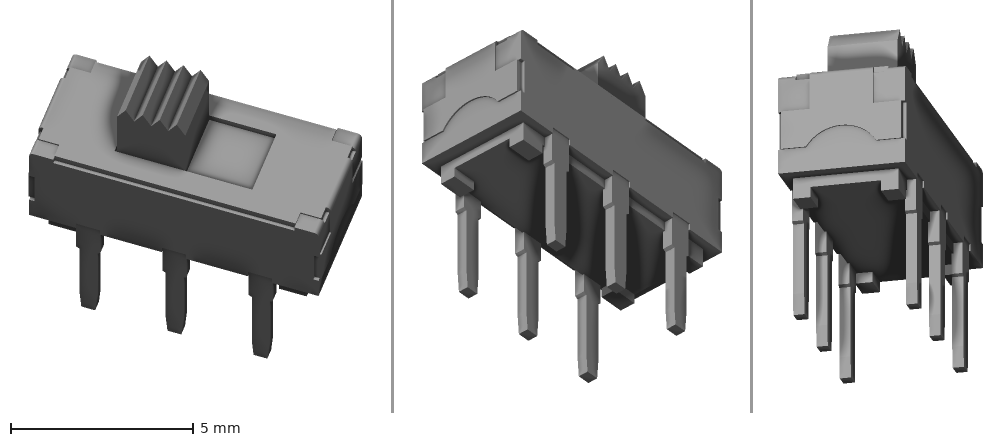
import cadquery as cq


CASE_LENGTH = 8.4
CASE_WIDTH = 3.6
CASE_BOTTOM = 0.6
CASE_TOP = 3.45
CASE_END_ROUND = 0.13

SHEET = 0.2
COVER_LENGTH = 8.5
COVER_WIDTH = 3.4
COVER_TOP = 3.5
COVER_BEND_RADIUS = 0.15
LID_UNDERSIDE = COVER_TOP - SHEET
FLAP_NECK_WIDTH = 1.8
FLAP_WING_TOP = 2.4
FLAP_BOTTOM = 1.3
FLAP_ARC_HALF_CHORD = 1.0
FLAP_ARC_RISE = 0.54

BLOCK_INNER_X = 3.5
BLOCK_INNER_Y = 1.3

WINDOW_LENGTH = 4.0
WINDOW_WIDTH = 2.0
SLIDER_SIZE = 1.98
SLIDER_CENTER_X = -0.94
SLIDER_TOP = 5.5
TOOTH_COUNT = 4
TOOTH_HEIGHT = 0.4

BASE_LENGTH = 7.5
BASE_WIDTH = 3.0
BASE_BOTTOM = 0.3
FOOT_LENGTH = 0.8
FOOT_WIDTH = 0.5

PIN_PITCH = 2.5
PIN_COLUMNS = (-1, 0, 1)
PIN_ROW_Y = 1.6
PIN_THICKNESS = 0.32
PIN_OUTER_Y = PIN_ROW_Y + PIN_THICKNESS / 2
PIN_TOP = 0.8
PIN_SHOULDER = -0.3
PIN_SHOULDER_DROP = 0.06
PIN_TAPER_START = -2.4
PIN_BOTTOM = -3.0
PIN_SHOULDER_WIDTH = 0.7
PIN_WIDTH = 0.5
PIN_TIP_WIDTH = 0.4

SIDES = (-1, 1)


def block(length, width, bottom, top, x=0, y=0):
    """Box centred on (x, y) and spanning bottom to top in Z."""
    return (
        cq.Workplane("XY", origin=(x, y, bottom))
        .rect(length, width)
        .extrude(top - bottom)
    )


def corner_columns(bottom, top):
    """Four columns filling the corner regions that the lid leaves free."""
    length = COVER_LENGTH / 2 - BLOCK_INNER_X
    width = CASE_WIDTH / 2 - BLOCK_INNER_Y
    columns = cq.Workplane("XY")
    for side_x in SIDES:
        for side_y in SIDES:
            x = side_x * (BLOCK_INNER_X + length / 2)
            y = side_y * (BLOCK_INNER_Y + width / 2)
            columns = columns.add(block(length, width, bottom, top, x, y))
    return columns.combine()


def make_case():
    """Case with raised corner blocks and recesses beside the flap wings."""
    case = block(CASE_LENGTH, CASE_WIDTH, CASE_BOTTOM, CASE_TOP)
    case = case.faces(">Z").edges("|Y").fillet(CASE_END_ROUND)
    lid_seat = block(COVER_LENGTH, CASE_WIDTH, LID_UNDERSIDE, COVER_TOP)
    case = case.cut(lid_seat.cut(corner_columns(LID_UNDERSIDE, COVER_TOP)))
    recess_width = (CASE_WIDTH - COVER_WIDTH) / 2
    for side_x in SIDES:
        for side_y in SIDES:
            x = side_x * (COVER_LENGTH - SHEET) / 2
            y = side_y * (CASE_WIDTH - recess_width) / 2
            case = case.cut(block(SHEET, recess_width, FLAP_BOTTOM, FLAP_WING_TOP, x, y))
    return case


def make_flap_arches():
    """Cutter for the arched relief in the lower edge of both flaps."""
    return (
        cq.Workplane("YZ")
        .moveTo(-FLAP_ARC_HALF_CHORD, FLAP_BOTTOM)
        .threePointArc((0, FLAP_BOTTOM + FLAP_ARC_RISE), (FLAP_ARC_HALF_CHORD, FLAP_BOTTOM))
        .close()
        .extrude(COVER_LENGTH / 2, both=True)
    )


def make_cover():
    """Cover with its flaps; solid inside, where the case fills it."""
    lid_length = COVER_LENGTH - 2 * COVER_BEND_RADIUS
    lid = block(lid_length, COVER_WIDTH, LID_UNDERSIDE, COVER_TOP)
    lid = lid.cut(corner_columns(LID_UNDERSIDE, COVER_TOP))
    neck = block(COVER_LENGTH, FLAP_NECK_WIDTH, FLAP_BOTTOM, COVER_TOP)
    neck = neck.faces(">Z").edges("|Y").fillet(COVER_BEND_RADIUS)
    wings = block(COVER_LENGTH, COVER_WIDTH, FLAP_BOTTOM, FLAP_WING_TOP)
    window = block(WINDOW_LENGTH, WINDOW_WIDTH, LID_UNDERSIDE, COVER_TOP)
    return lid.union(neck).union(wings).cut(make_flap_arches()).cut(window)


def make_slider():
    """Slider knob with a row of sharp grip teeth on top."""
    pitch = SLIDER_SIZE / TOOTH_COUNT
    left = SLIDER_CENTER_X - SLIDER_SIZE / 2
    tooth_root = SLIDER_TOP - TOOTH_HEIGHT
    outline = cq.Workplane("XZ").moveTo(left, LID_UNDERSIDE).lineTo(left, tooth_root)
    for i in range(TOOTH_COUNT):
        outline = outline.lineTo(left + (i + 0.5) * pitch, SLIDER_TOP)
        outline = outline.lineTo(left + (i + 1) * pitch, tooth_root)
    outline = outline.lineTo(left + SLIDER_SIZE, LID_UNDERSIDE).close()
    return outline.extrude(SLIDER_SIZE / 2, both=True)


def make_base():
    """Base plate under the case with a foot at each corner."""
    base = block(BASE_LENGTH, BASE_WIDTH, BASE_BOTTOM, CASE_BOTTOM)
    for side_x in SIDES:
        for side_y in SIDES:
            x = side_x * (BASE_LENGTH - FOOT_LENGTH) / 2
            y = side_y * (BASE_WIDTH - FOOT_WIDTH) / 2
            base = base.union(block(FOOT_LENGTH, FOOT_WIDTH, 0, CASE_BOTTOM, x, y))
    return base


def make_pin(x, y):
    """Flat pin with a wide shoulder and a tapered tip."""
    right_side = [
        (PIN_SHOULDER_WIDTH / 2, PIN_TOP),
        (PIN_SHOULDER_WIDTH / 2, PIN_SHOULDER),
        (PIN_WIDTH / 2, PIN_SHOULDER - PIN_SHOULDER_DROP),
        (PIN_WIDTH / 2, PIN_TAPER_START),
        (PIN_TIP_WIDTH / 2, PIN_BOTTOM),
    ]
    left_side = [(-px, pz) for px, pz in reversed(right_side)]
    return (
        cq.Workplane("XZ", origin=(x, y, 0))
        .polyline(right_side + left_side)
        .close()
        .extrude(PIN_THICKNESS / 2, both=True)
    )


def make_pin_notch(x, side):
    """Cutter for the shallow notch in the case wall outside one pin."""
    depth = CASE_WIDTH / 2 - PIN_OUTER_Y
    y = side * (PIN_OUTER_Y + depth / 2)
    return block(PIN_SHOULDER_WIDTH, depth, CASE_BOTTOM, PIN_TOP, x, y)


def make_switch():
    """Case, cover, slider, base and pins joined into one solid."""
    switch = make_case().union(make_cover())
    switch = switch.union(make_slider()).union(make_base())
    for column in PIN_COLUMNS:
        for side in SIDES:
            x = column * PIN_PITCH
            switch = switch.cut(make_pin_notch(x, side))
            switch = switch.union(make_pin(x, side * PIN_ROW_Y))
    return switch


result = make_switch()